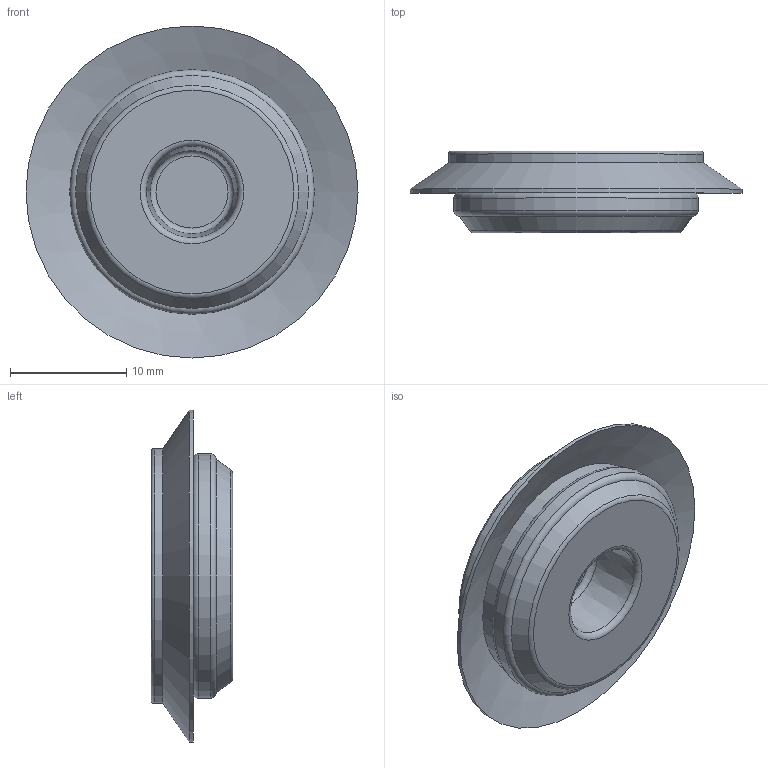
import cadquery as cq
import math

total_length = 7.0

nose_tip_radius = 9.0
nose_length = 1.42

bead_radius = 10.5
bead_round = 0.5
bead_length = 2.05

flange_radius = 14.25
rim_depth = 3.4
rim_thickness = 0.35
undercut_depth = 4.9

disk_radius = 10.95
disk_length = 1.0

bore_mouth_radius = 3.98
bore_floor_radius = 3.55
bore_depth = 5.0

nose_round = 0.5
disk_round = 0.25
bore_round = 0.5

neck_radius = bead_radius - bead_round
bead_back_depth = nose_length + bead_length
arc_offset = bead_round * math.sin(math.radians(45))

SELECTION_MARGIN = 0.01


def station(depth):
    """Y coordinate of a plane at a given depth behind the front face."""
    return depth - total_length


def circle_at(radius, depth):
    """Selector for the circular edge of a given radius at a given depth."""
    reach = radius + SELECTION_MARGIN
    y = station(depth)
    return cq.selectors.BoxSelector(
        (-reach, y - SELECTION_MARGIN, -reach),
        (reach, y + SELECTION_MARGIN, reach),
        boundingbox=True,
    )


def revolve_about_y(outline):
    """Close a half profile in the XY plane and spin it about the Y axis."""
    return outline.close().revolve(360, (0, 0, 0), (0, 1, 0))


def make_body():
    bead_front_center = station(nose_length + bead_round)
    bead_back_center = station(bead_back_depth - bead_round)
    outline = (
        cq.Workplane("XY")
        .moveTo(0, station(0))
        .lineTo(nose_tip_radius, station(0))
        .lineTo(neck_radius, station(nose_length))
        .threePointArc(
            (neck_radius + arc_offset, bead_front_center - arc_offset),
            (bead_radius, bead_front_center),
        )
        .lineTo(bead_radius, bead_back_center)
        .threePointArc(
            (neck_radius + arc_offset, bead_back_center + arc_offset),
            (neck_radius, station(bead_back_depth)),
        )
        .lineTo(neck_radius, station(undercut_depth))
        .lineTo(flange_radius, station(rim_depth))
        .lineTo(flange_radius, station(rim_depth + rim_thickness))
        .lineTo(disk_radius, station(total_length - disk_length))
        .lineTo(disk_radius, station(total_length))
        .lineTo(0, station(total_length))
    )
    body = revolve_about_y(outline)
    body = body.edges(circle_at(nose_tip_radius, 0)).fillet(nose_round)
    return body.edges(">Y").fillet(disk_round)


def make_bore():
    outline = (
        cq.Workplane("XY")
        .moveTo(0, station(0))
        .lineTo(bore_mouth_radius, station(0))
        .lineTo(bore_floor_radius, station(bore_depth))
        .lineTo(0, station(bore_depth))
    )
    return revolve_about_y(outline).edges(">Y").fillet(bore_round)


def cut_bore(body):
    bored = body.cut(make_bore())
    return bored.edges(circle_at(bore_mouth_radius, 0)).fillet(bore_round)


result = cut_bore(make_body())